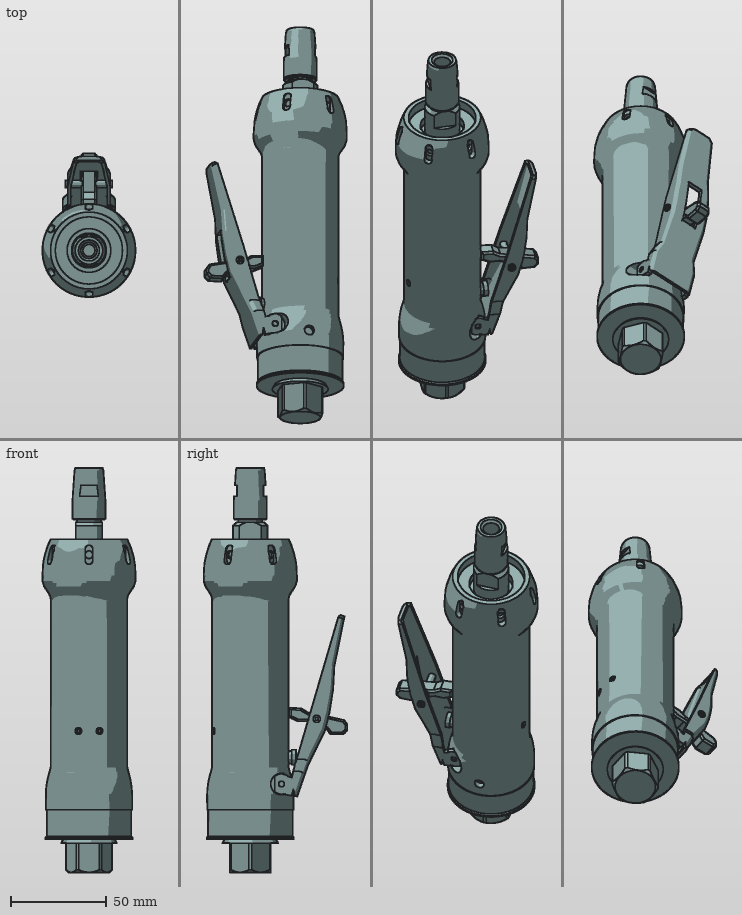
import cadquery as cq
import math

TOTAL_HEIGHT = 212.2
HEX_FLAT_DISTANCE = 10.8
HEX_CORNER_RADIUS = 12.0
HEX_CHAMFER = 1.5
COLLAR_RADIUS = 14.6
COLLAR_TOP_RADIUS = 13.5
COLLAR_BOTTOM = 15.5
CAP_BOTTOM = 17.5
CAP_LIP_TOP = 19.0
CAP_LIP_RADIUS = 23.0
CAP_RADIUS = 22.3
SHOULDER_BOTTOM = 32.9
SHOULDER_TOP = 41.2
SHOULDER_RADIUS = 22.7
TUBE_RADIUS = 20.2
TUBE_TOP = 142.4
NOSE_DIAMETER = 49.0
NOSE_RADIUS = NOSE_DIAMETER / 2
RIM_RADIUS = 20.2
RIM_Z = 174.9

RECESS_RADIUS = 17.6
RECESS_DEPTH = 5.0
CLEARANCE_RADIUS = 11.5
CLEARANCE_DEPTH = 4.2
SPINDLE_RADIUS = 9.1
SPINDLE_FLAT_DISTANCE = 7.0
SPINDLE_FLAT_BOTTOM = 174.0
SPINDLE_TOP = 183.8
SPINDLE_CHAMFER = 2.0
NECK_RADIUS = 6.4
COLLET_BOTTOM = 185.0
COLLET_RADIUS = 8.7
COLLET_CHAMFER = 0.6
COLLET_TAPER_BOTTOM = 195.2
COLLET_TIP_RADIUS = 7.6
TIP_BEVEL_HEIGHT = 1.5
TIP_BEVEL_WIDTH = 0.5
BORE_RADIUS = 4.2
BORE_DEPTH = 17.0
BORE_CHAMFER = 1.3
INNER_BORE_RADIUS = 3.2
INNER_BORE_DEPTH = 25.5
WRENCH_FLAT_DISTANCE = 7.0
WRENCH_FLAT_BOTTOM = 197.3
WRENCH_FLAT_TOP = 203.0

SLOT_COUNT = 6
SLOT_WIDTH = 4.0
SLOT_BOTTOM = 161.7
SLOT_TOP = 171.7
SLOT_FLOOR_RADIUS = 21.0
SLOT_HOLE_FLOOR_RADIUS = 19.0
SCREW_X = 5.5
SCREW_Z = 74.3
SCREW_RADIUS = 1.7
SCREW_RECESS_DEPTH = 1.5
SCREW_SOCKET_RADIUS = 0.8
SCREW_SOCKET_DEPTH = 3.2
SIDE_HOLE_RADIUS = 2.5
SIDE_HOLE_DEPTH = 3.2
PLUNGER_Z = 60.5
PLUNGER_STEM_RADIUS = 3.5
PLUNGER_HEAD_RADIUS = 4.0
PLUNGER_HEAD_START = 21.6
PLUNGER_END = 24.0

PIVOT_Y = 16.3
PIVOT_Z = 46.5
EAR_RADIUS = 5.3
EAR_FRONT_Y = 13.0
EAR_INNER_X = 11.5
LEVER_FOOT_HALF_WIDTH = 13.8
LEVER_HALF_WIDTH = 11.2
LEVER_TIP_HALF_WIDTH = 8.3
LEVER_TIP_Z = 135.4
LEVER_FLARE_BOTTOM = 53.0
LEVER_FLARE_TOP = 59.5
LEVER_TAPER_BOTTOM = 89.1
LEVER_TIP_CORNER = 1.5
LEVER_OUTLINE_DEPTH = 63.7
LEVER_WALL = 1.7
LEVER_WEB = 2.1
CAVITY_REACH = 10.6
LEVER_EDGE_FILLET = 2.8
CAVITY_FILLET = 2.1
POCKET_CLEARANCE = 0.32
TRUNNION_RADIUS = 1.7
TRUNNION_LENGTH = 3.2
EAR_DIMPLE_RADIUS = 1.5
EAR_DIMPLE_DEPTH = 1.0
WINDOW_HALF_WIDTH = 4.5
WINDOW_BOTTOM = 73.2
WINDOW_TOP = 98.7

LATCH_HALF_WIDTH = 4.0
LATCH_CHAMFER = 1.0
LATCH_END_Y = 51.0
LATCH_TOE_Y = TUBE_RADIUS + 0.2
LATCH_PIN_Y = 34.8
LATCH_PIN_Z = 80.6
LATCH_PIN_RADIUS = 2.0
LATCH_PIN_HALF_LENGTH = 12.3
LATCH_DIMPLE_RADIUS = 0.8
LATCH_DIMPLE_DEPTH = 0.8


def cylinder_x(radius, y, z, x_start, x_end):
    """Cylinder with its axis parallel to X."""
    return (
        cq.Workplane("YZ", origin=(x_start, y, z))
        .circle(radius)
        .extrude(x_end - x_start)
    )


def cylinder_y(radius, x, z, y_start, y_end):
    """Cylinder with its axis parallel to Y."""
    return (
        cq.Workplane("XZ", origin=(x, y_start, z))
        .circle(radius)
        .extrude(y_start - y_end)
    )


def block(x_range, y_range, z_range):
    """Box given by its limits along each axis."""
    lows, highs = zip(x_range, y_range, z_range)
    sizes = [high - low for low, high in zip(lows, highs)]
    return cq.Workplane("XY", origin=lows).box(*sizes, centered=False)


def turned_housing():
    """Rear cap, grip tube and bulged nose, turned about Z."""
    return (
        cq.Workplane("XZ")
        .moveTo(0, COLLAR_BOTTOM)
        .lineTo(COLLAR_RADIUS, COLLAR_BOTTOM)
        .lineTo(COLLAR_TOP_RADIUS, CAP_BOTTOM)
        .lineTo(CAP_LIP_RADIUS, CAP_BOTTOM)
        .lineTo(CAP_LIP_RADIUS, (CAP_BOTTOM + CAP_LIP_TOP) / 2)
        .lineTo(CAP_RADIUS, CAP_LIP_TOP)
        .lineTo(CAP_RADIUS, SHOULDER_BOTTOM)
        .lineTo(SHOULDER_RADIUS, SHOULDER_BOTTOM)
        .lineTo(SHOULDER_RADIUS, SHOULDER_TOP)
        .threePointArc((22.0, 47.3), (20.8, 52.6))
        .lineTo(TUBE_RADIUS, 55.2)
        .lineTo(TUBE_RADIUS, TUBE_TOP)
        .threePointArc((20.4, 144.7), (21.5, 146.8))
        .lineTo(23.5, 150.0)
        .lineTo(24.2, 152.0)
        .lineTo(NOSE_RADIUS, 153.0)
        .lineTo(NOSE_RADIUS, 155.8)
        .threePointArc((23.3, 166.2), (RIM_RADIUS, RIM_Z))
        .lineTo(0, RIM_Z)
        .close()
        .revolve(360, (0, 0, 0), (0, 1, 0))
    )


def inlet_fitting():
    """Hexagonal hose fitting with turned corners and a chamfered end."""
    hexagon = (
        cq.Workplane("XY")
        .polygon(6, 2 * HEX_FLAT_DISTANCE / math.cos(math.pi / 6))
        .extrude(COLLAR_BOTTOM)
    )
    envelope = (
        cq.Workplane("XY")
        .circle(HEX_CORNER_RADIUS)
        .extrude(COLLAR_BOTTOM)
        .faces("<Z")
        .chamfer(HEX_CHAMFER)
    )
    return hexagon.intersect(envelope)


def nose_recess():
    """Stepped round recess around the spindle."""
    floor_z = RIM_Z - RECESS_DEPTH
    upper = cq.Workplane("XY", origin=(0, 0, floor_z)).circle(RECESS_RADIUS).extrude(RECESS_DEPTH)
    lower = cq.Workplane("XY", origin=(0, 0, floor_z)).circle(CLEARANCE_RADIUS).extrude(-CLEARANCE_DEPTH)
    return upper.union(lower)


def spindle():
    """Flatted spindle, narrow neck and tapered collet, with the collet bore."""
    start_z = RIM_Z - RECESS_DEPTH - CLEARANCE_DEPTH
    body = (
        cq.Workplane("XZ")
        .moveTo(0, start_z)
        .lineTo(SPINDLE_RADIUS, start_z)
        .lineTo(SPINDLE_RADIUS, SPINDLE_TOP - SPINDLE_CHAMFER)
        .lineTo(SPINDLE_RADIUS - SPINDLE_CHAMFER, SPINDLE_TOP)
        .lineTo(NECK_RADIUS, SPINDLE_TOP)
        .lineTo(NECK_RADIUS, COLLET_BOTTOM)
        .lineTo(COLLET_RADIUS - COLLET_CHAMFER, COLLET_BOTTOM)
        .lineTo(COLLET_RADIUS, COLLET_BOTTOM + COLLET_CHAMFER)
        .lineTo(COLLET_RADIUS, COLLET_TAPER_BOTTOM)
        .lineTo(COLLET_TIP_RADIUS, TOTAL_HEIGHT - TIP_BEVEL_HEIGHT)
        .lineTo(COLLET_TIP_RADIUS - TIP_BEVEL_WIDTH, TOTAL_HEIGHT)
        .lineTo(0, TOTAL_HEIGHT)
        .close()
        .revolve(360, (0, 0, 0), (0, 1, 0))
    )
    bore = cq.Workplane("XY", origin=(0, 0, TOTAL_HEIGHT)).circle(BORE_RADIUS).extrude(-BORE_DEPTH)
    bore = bore.faces(">Z").workplane().circle(INNER_BORE_RADIUS).extrude(-INNER_BORE_DEPTH)
    mouth = cq.Workplane("XY", origin=(0, 0, TOTAL_HEIGHT)).circle(BORE_RADIUS + BORE_CHAMFER)
    body = body.cut(bore).cut(mouth.extrude(-BORE_RADIUS - BORE_CHAMFER, taper=45))
    for side in (-1, 1):
        spindle_flat = block(
            sorted((side * SPINDLE_FLAT_DISTANCE, side * NOSE_RADIUS)),
            (-NOSE_RADIUS, NOSE_RADIUS),
            (SPINDLE_FLAT_BOTTOM, SPINDLE_TOP),
        )
        wrench_flat = block(
            (-NOSE_RADIUS, NOSE_RADIUS),
            sorted((side * WRENCH_FLAT_DISTANCE, side * NOSE_RADIUS)),
            (WRENCH_FLAT_BOTTOM, WRENCH_FLAT_TOP),
        )
        body = body.cut(spindle_flat).cut(wrench_flat)
    return body


def nose_slot():
    """Upright round-ended slot on the -Y side of the nose, with a hole in its floor."""
    middle_z = (SLOT_BOTTOM + SLOT_TOP) / 2
    slot = (
        cq.Workplane("XZ", origin=(0, -SLOT_FLOOR_RADIUS, middle_z))
        .slot2D(SLOT_TOP - SLOT_BOTTOM, SLOT_WIDTH, 90)
        .extrude(NOSE_RADIUS - SLOT_FLOOR_RADIUS)
    )
    hole = cylinder_y(SLOT_WIDTH / 2, 0, middle_z, -SLOT_HOLE_FLOOR_RADIUS, -NOSE_RADIUS)
    return slot.union(hole)


def lever_screw(side):
    """Round recess with a socket for one of the screws in the tube."""
    recess_floor = SCREW_RECESS_DEPTH - TUBE_RADIUS
    socket_floor = SCREW_SOCKET_DEPTH - TUBE_RADIUS
    recess = cylinder_y(SCREW_RADIUS, side * SCREW_X, SCREW_Z, recess_floor, -TUBE_RADIUS)
    socket = cylinder_y(SCREW_SOCKET_RADIUS, side * SCREW_X, SCREW_Z, socket_floor, -TUBE_RADIUS)
    return recess.union(socket)


def plunger():
    """Valve plunger standing out of the tube under the lever."""
    stem = cylinder_y(PLUNGER_STEM_RADIUS, 0, PLUNGER_Z, 0, PLUNGER_HEAD_START)
    head = cylinder_y(PLUNGER_HEAD_RADIUS, 0, PLUNGER_Z, PLUNGER_HEAD_START, PLUNGER_END)
    return stem.union(head)


def pivot_seat(side):
    """Round pocket for one lever ear and the hole for its trunnion."""
    pocket = cylinder_x(
        EAR_RADIUS + POCKET_CLEARANCE, PIVOT_Y, PIVOT_Z, side * EAR_INNER_X, side * NOSE_RADIUS
    )
    hole = cylinder_x(
        TRUNNION_RADIUS, PIVOT_Y, PIVOT_Z, side * (EAR_INNER_X - TRUNNION_LENGTH), side * EAR_INNER_X
    )
    return pocket.union(hole)


def make_tool():
    """Housing with its fitting, spindle and valve plunger."""
    tool = turned_housing().union(inlet_fitting())
    tool = tool.cut(nose_recess()).union(spindle()).union(plunger())
    for index in range(SLOT_COUNT):
        tool = tool.cut(nose_slot().rotate((0, 0, 0), (0, 0, 1), index * 360 / SLOT_COUNT))
    for side in (-1, 1):
        tool = tool.cut(lever_screw(side)).cut(pivot_seat(side))
    side_hole = cylinder_x(
        SIDE_HOLE_RADIUS, 0, SHOULDER_TOP, -SHOULDER_RADIUS, SIDE_HOLE_DEPTH - SHOULDER_RADIUS
    )
    return tool.cut(side_hole)


LEVER_BACK = [
    (49.5, 134.3),
    (44.1, 108.2),
    (43.5, 96.3),
    (41.5, 84.0),
    (39.0, 74.0),
    (30.3, 56.5),
    (24.6, 39.9),
]
LEVER_FRONT = [(23.1, 40.3), (21.6, 49.9), (23.3, 56.7), (25.3, 62.8), (46.0, 134.0), (47.3, 135.2)]


def lever_side(thickness, reach):
    """Solid across the full width: from `thickness` inside the back edge to `reach` past the front edge."""
    back = [(y - thickness, z) for y, z in LEVER_BACK]
    front = [(y - reach, z) for y, z in LEVER_FRONT]
    return (
        cq.Workplane("YZ")
        .polyline(back + front)
        .close()
        .extrude(LEVER_FOOT_HALF_WIDTH, both=True)
    )


def lever_outline(inset):
    """Solid with the front outline of the lever, narrowing to the tip and flared at the foot."""
    right_edge = [
        (LEVER_FOOT_HALF_WIDTH - inset, 0),
        (LEVER_FOOT_HALF_WIDTH - inset, LEVER_FLARE_BOTTOM),
        (LEVER_HALF_WIDTH - inset, LEVER_FLARE_TOP),
        (LEVER_HALF_WIDTH - inset, LEVER_TAPER_BOTTOM),
        (LEVER_TIP_HALF_WIDTH - inset, LEVER_TIP_Z - LEVER_TIP_CORNER),
        (LEVER_TIP_HALF_WIDTH - LEVER_TIP_CORNER - inset, LEVER_TIP_Z),
    ]
    left_edge = [(-x, z) for x, z in reversed(right_edge)]
    return cq.Workplane("XZ").polyline(right_edge + left_edge).close().extrude(-LEVER_OUTLINE_DEPTH)


def rounded_lever_shape(web, wall, reach, fillet):
    """Lever shape set in by the web and wall thicknesses, with its long back edges rounded."""
    return (
        lever_side(web, reach)
        .intersect(lever_outline(wall))
        .faces()
        .filter(lambda face: face.normalAt().y > 0.5)
        .edges("not |X")
        .fillet(fillet)
    )


def ear(side):
    """Pivot ear with its inward trunnion and outer dimple."""
    inner = side * EAR_INNER_X
    outer = side * LEVER_FOOT_HALF_WIDTH
    plate = (
        cq.Workplane("YZ", origin=(inner, 0, 0))
        .polyline([(21.6, 49.9), (15.5, 51.5), (17.5, 41.2), (21.6, 40.3), (23.8, 47.7)])
        .close()
        .extrude(outer - inner)
    )
    plate = plate.union(cylinder_x(EAR_RADIUS, PIVOT_Y, PIVOT_Z, inner, outer))
    front_trim = block(
        (-LEVER_FOOT_HALF_WIDTH, LEVER_FOOT_HALF_WIDTH),
        (0, EAR_FRONT_Y),
        (PIVOT_Z - EAR_RADIUS, PIVOT_Z + EAR_RADIUS),
    )
    plate = plate.cut(front_trim)
    dimple = cylinder_x(EAR_DIMPLE_RADIUS, PIVOT_Y, PIVOT_Z, outer - side * EAR_DIMPLE_DEPTH, outer)
    trunnion = cylinder_x(TRUNNION_RADIUS, PIVOT_Y, PIVOT_Z, inner - side * TRUNNION_LENGTH, inner)
    return plate.cut(dimple).union(trunnion)


def latch():
    """Lock latch: rounded knob behind the lever and a toe that stops just short of the tube."""
    return (
        cq.Workplane("YZ")
        .moveTo(41.5, 81.7)
        .lineTo(49.2, 80.0)
        .lineTo(LATCH_END_Y, 77.7)
        .lineTo(LATCH_END_Y, 74.7)
        .lineTo(48.8, 72.5)
        .lineTo(42.0, 72.5)
        .lineTo(39.9, 75.3)
        .lineTo(29.7, 79.4)
        .lineTo(24.8, 79.4)
        .lineTo(LATCH_TOE_Y, 81.5)
        .lineTo(LATCH_TOE_Y, 86.5)
        .lineTo(26.7, 86.2)
        .lineTo(30.5, 83.8)
        .close()
        .extrude(LATCH_HALF_WIDTH, both=True)
        .faces("<X or >X")
        .chamfer(LATCH_CHAMFER)
    )


def make_lever():
    """Channel-shaped lever with ears, lock latch and latch pin."""
    lever = rounded_lever_shape(0, 0, 0, LEVER_EDGE_FILLET)
    lever = lever.cut(rounded_lever_shape(LEVER_WEB, LEVER_WALL, CAVITY_REACH, CAVITY_FILLET))
    window = block(
        (-WINDOW_HALF_WIDTH, WINDOW_HALF_WIDTH), (PIVOT_Y, LATCH_END_Y), (WINDOW_BOTTOM, WINDOW_TOP)
    )
    lever = lever.cut(window)
    for side in (-1, 1):
        lever = lever.union(ear(side))
    lever = lever.union(latch())
    pin = cylinder_x(
        LATCH_PIN_RADIUS, LATCH_PIN_Y, LATCH_PIN_Z, -LATCH_PIN_HALF_LENGTH, LATCH_PIN_HALF_LENGTH
    )
    lever = lever.union(pin)
    for side in (-1, 1):
        pin_end = side * LATCH_PIN_HALF_LENGTH
        lever = lever.cut(
            cylinder_x(
                LATCH_DIMPLE_RADIUS, LATCH_PIN_Y, LATCH_PIN_Z, pin_end - side * LATCH_DIMPLE_DEPTH, pin_end
            )
        )
    return lever


tool = make_tool()
lever = make_lever().cut(tool)

result = cq.Compound.makeCompound([*tool.solids().vals(), *lever.solids().vals()])